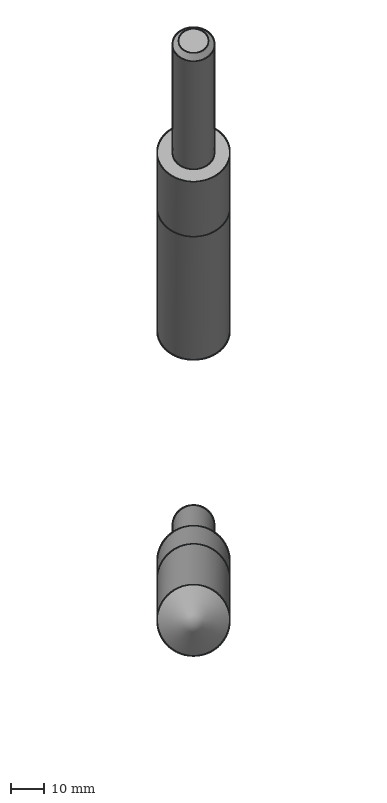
import cadquery as cq
import math

total_length = 152.4
body_diameter = 21.8
joint_height = 68.6

point_angle = 118.0
body_radius = body_diameter / 2
point_height = body_radius / math.tan(math.radians(point_angle / 2))

shank_diameter = 12.6
shank_length = 56.1
shank_radius = shank_diameter / 2
shoulder_height = total_length - shank_length

bevel_width = 1.8
bevel_height = 1.7


def make_pointed_tip():
    """Lower cylinder ending in a cone, up to the flat joint face."""
    return (
        cq.Workplane("XZ")
        .moveTo(0, 0)
        .lineTo(body_radius, point_height)
        .lineTo(body_radius, joint_height)
        .lineTo(0, joint_height)
        .close()
        .revolve(360, (0, 0), (0, 1))
    )


def make_shank_holder():
    """Upper cylinder above the joint, with the bevelled shank on its shoulder."""
    return (
        cq.Workplane("XZ")
        .moveTo(0, joint_height)
        .lineTo(body_radius, joint_height)
        .lineTo(body_radius, shoulder_height)
        .lineTo(shank_radius, shoulder_height)
        .lineTo(shank_radius, total_length - bevel_height)
        .lineTo(shank_radius - bevel_width, total_length)
        .lineTo(0, total_length)
        .close()
        .revolve(360, (0, 0), (0, 1))
    )


pointed_tip = make_pointed_tip()
shank_holder = make_shank_holder()

result = cq.Compound.makeCompound([pointed_tip.val(), shank_holder.val()])